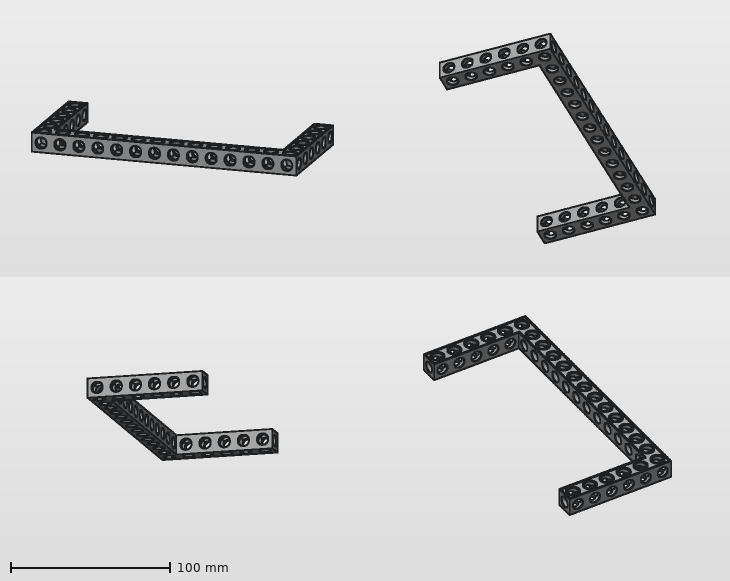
import cadquery as cq
pitch = 12.5
base_hole_count = 14
arm_hole_count = 6
hole_diameter = 7.0
collar_diameter = 9.2
rim_width = 0.9
recess_depth = 0.3
hole_chamfer = 0.3

length = base_hole_count * pitch
arm_length = arm_hole_count * pitch
half_length = length / 2
mid_height = pitch / 2


def row_position(index):
    """Distance from the start of a beam to the centre of a hole."""
    return (index + 0.5) * pitch


base_x = [row_position(i) - half_length for i in range(base_hole_count)]
arm_y = [row_position(i) for i in range(arm_hole_count)]
base_centres = [(x, arm_y[0]) for x in base_x]
arm_centres = [(x, y) for x in (base_x[0], base_x[-1]) for y in arm_y[1:]]
vertical_hole_centres = base_centres + arm_centres


def u_prism(inset, bottom, height):
    """U-shaped prism whose outline is moved inward by the inset."""
    outer_x = half_length - inset
    inner_x = half_length - pitch + inset
    front_y = inset
    inner_y = pitch - inset
    end_y = arm_length - inset
    outline = [
        (-outer_x, front_y),
        (outer_x, front_y),
        (outer_x, end_y),
        (inner_x, end_y),
        (inner_x, inner_y),
        (-inner_x, inner_y),
        (-inner_x, end_y),
        (-outer_x, end_y),
    ]
    return cq.Workplane("XY", origin=(0, 0, bottom)).polyline(outline).close().extrude(height)


def vertical_cylinders(diameter, bottom, height):
    """Cylinders along Z at every hole centre of the U."""
    plane = cq.Workplane("XY", origin=(0, 0, bottom))
    return plane.pushPoints(vertical_hole_centres).circle(diameter / 2).extrude(height)


def top_recess():
    """Shallow recess inside the rim, leaving a collar around each vertical hole."""
    bottom = pitch - recess_depth
    pocket = u_prism(rim_width, bottom, recess_depth)
    return pocket.cut(vertical_cylinders(collar_diameter, bottom, recess_depth))


def chamfered_bore(depth):
    """Bore along Z from the origin, widened by a chamfer at both ends."""
    radius = hole_diameter / 2
    mouth_radius = radius + hole_chamfer
    half_profile = [
        (0, 0),
        (mouth_radius, 0),
        (radius, hole_chamfer),
        (radius, depth - hole_chamfer),
        (mouth_radius, depth),
        (0, depth),
    ]
    return cq.Workplane("XZ").polyline(half_profile).close().revolve(360, (0, 0, 0), (0, 1, 0)).val()


def cut_bores(solid, plane, centres, depth):
    """Cut a chamfered bore at each centre, running along the normal of the plane."""
    bore = chamfered_bore(depth)
    bores = plane.pushPoints(centres).eachpoint(lambda place: bore.moved(place), useLocalCoordinates=True)
    return solid.cut(bores)


def cut_vertical_bores(solid):
    """Bores along Z at every hole centre of the U."""
    return cut_bores(solid, cq.Workplane("XY"), vertical_hole_centres, pitch)


def front_plane():
    """Workplane on the front face, bores running toward +Y, local x equal to X."""
    return cq.Workplane(cq.Plane((0, 0, mid_height), xDir=(1, 0, 0), normal=(0, 1, 0)))


def side_plane(x):
    """Workplane facing +X at the given X, local x equal to Y."""
    return cq.Workplane(cq.Plane((x, 0, mid_height), xDir=(0, 1, 0), normal=(1, 0, 0)))


def cut_bores_along_y(solid):
    """Bores through the base; the two end ones run on through the whole length of the arms."""
    base_only = [(x, 0) for x in base_x[1:-1]]
    along_arms = [(x, 0) for x in (base_x[0], base_x[-1])]
    solid = cut_bores(solid, front_plane(), base_only, pitch)
    return cut_bores(solid, front_plane(), along_arms, arm_length)


def cut_bores_along_x(solid):
    """Bores through each arm; the first one runs through the whole length of the base."""
    across_arm = [(y, 0) for y in arm_y[1:]]
    for arm_start in (-half_length, half_length - pitch):
        solid = cut_bores(solid, side_plane(arm_start), across_arm, pitch)
    return cut_bores(solid, side_plane(-half_length), [(arm_y[0], 0)], length)


body = u_prism(0, 0, pitch)
body = body.cut(top_recess())
body = cut_vertical_bores(body)
body = cut_bores_along_y(body)
result = cut_bores_along_x(body)